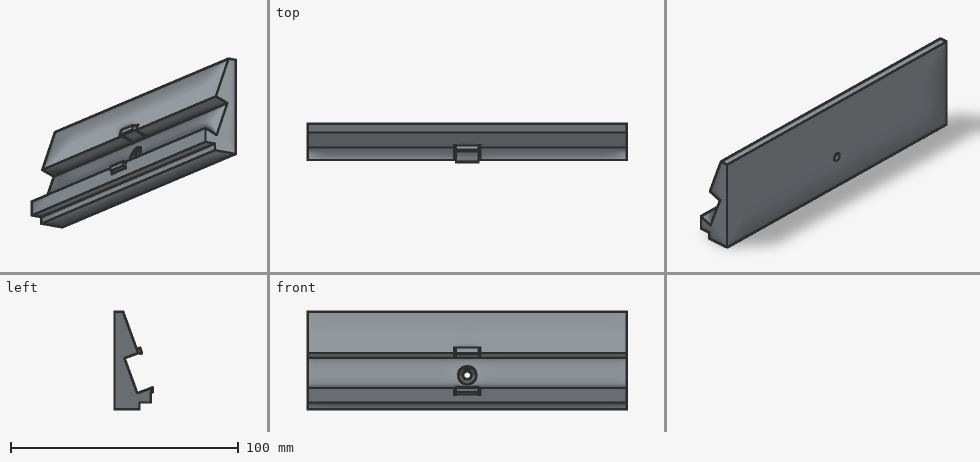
import cadquery as cq
import math

LENGTH = 140.3
HEIGHT = 43.0
TOP_THICKNESS = 3.8
LIP_DEPTH = 16.0
FOOT_DEPTH = 11.0
FOOT_HEIGHT = 3.0
TILT = math.radians(20.0)

UPPER_LEDGE = 6.4
LIP_Z = 24.7
GROOVE_WIDTH = 16.3

TONGUE_WIDTH = 10.0
TONGUE_THICKNESS = 2.0
ROOT_OVERLAP = 1.0
CLEARANCE = 0.75
UPPER_REACH = 1.6
BARB_HEIGHT = 0.55
BARB_LAND = 0.8
CREST_HEIGHT = 0.2
CREST_DEPTH = 16.65
LOWER_TIP_DEPTH = 16.94

HOLE_Z = 15.0
HOLE_DIAMETER = 3.5
HEAD_DIAMETER = 8.0
CONE_HEIGHT = (HEAD_DIAMETER - HOLE_DIAMETER) / 2
HEAD_SEAT_DEPTH = 4.5

LIP_EDGE = (TOP_THICKNESS + (HEIGHT - LIP_Z) * math.tan(TILT), LIP_Z)
UPPER_ROOT = (
    LIP_EDGE[0] - UPPER_LEDGE * math.cos(TILT),
    LIP_EDGE[1] - UPPER_LEDGE * math.sin(TILT),
)


def groove_point(out, down):
    """Profile point at a distance out of the groove floor and down from the upper ledge."""
    return (
        UPPER_ROOT[0] + out * math.cos(TILT) + down * math.sin(TILT),
        UPPER_ROOT[1] + out * math.sin(TILT) - down * math.cos(TILT),
    )


LOWER_ROOT = groove_point(0, GROOVE_WIDTH)
LOWER_LEDGE = (LIP_DEPTH - LOWER_ROOT[0]) / math.cos(TILT)
SLOT_DEPTH = TONGUE_THICKNESS + CLEARANCE
SLOT_WIDTH = TONGUE_WIDTH + 2 * CLEARANCE
SLOT_REACH = LOWER_LEDGE + SLOT_DEPTH


def extrude_profile(points, width):
    """Extrude a closed (depth, height) outline along X, centred on X = 0."""
    outline = [(-depth, height) for depth, height in points]
    return cq.Workplane("YZ").polyline(outline).close().extrude(width / 2, both=True)


def make_bar():
    """Full-length bar with the groove, the lip and the foot."""
    return extrude_profile(
        [
            (0, 0),
            (0, HEIGHT),
            (TOP_THICKNESS, HEIGHT),
            LIP_EDGE,
            UPPER_ROOT,
            LOWER_ROOT,
            groove_point(LOWER_LEDGE, GROOVE_WIDTH),
            (LIP_DEPTH, FOOT_HEIGHT),
            (FOOT_DEPTH, FOOT_HEIGHT),
            (FOOT_DEPTH, 0),
        ],
        LENGTH,
    )


def make_slot(start, end):
    """Cutter in front of the groove floor, between two distances down the groove."""
    corners = [(0, start), (SLOT_REACH, start), (SLOT_REACH, end), (0, end)]
    return extrude_profile([groove_point(*corner) for corner in corners], SLOT_WIDTH)


def make_upper_tongue():
    """Tongue along the upper ledge with a barb hanging into the groove."""
    tip = UPPER_LEDGE + UPPER_REACH
    land_start = tip - BARB_LAND
    barb_start = land_start - BARB_HEIGHT
    corners = [
        (-ROOT_OVERLAP, -TONGUE_THICKNESS),
        (tip, -TONGUE_THICKNESS),
        (tip, BARB_HEIGHT),
        (land_start, BARB_HEIGHT),
        (barb_start, 0),
        (-ROOT_OVERLAP, 0),
    ]
    return extrude_profile([groove_point(*corner) for corner in corners], TONGUE_WIDTH)


def lower_ledge_height(depth):
    """Height of the plane of the lower ledge at a distance in front of the back."""
    return LOWER_ROOT[1] + (depth - LOWER_ROOT[0]) * math.tan(TILT)


def make_lower_tongue():
    """Tongue along the lower ledge ending in a low ridge, a 45 degree bevel and a vertical tip."""
    crest_z = lower_ledge_height(CREST_DEPTH) + CREST_HEIGHT
    bevel = LOWER_TIP_DEPTH - CREST_DEPTH
    drop = TONGUE_THICKNESS / math.cos(TILT)
    outline = [
        groove_point(-ROOT_OVERLAP, GROOVE_WIDTH),
        (LIP_DEPTH, lower_ledge_height(LIP_DEPTH)),
        (CREST_DEPTH, crest_z),
        (LOWER_TIP_DEPTH, crest_z - bevel),
        (LOWER_TIP_DEPTH, lower_ledge_height(LOWER_TIP_DEPTH) - drop),
        groove_point(-ROOT_OVERLAP, GROOVE_WIDTH + TONGUE_THICKNESS),
    ]
    return extrude_profile(outline, TONGUE_WIDTH)


def make_screw_hole():
    """Through hole along Y, widened to the head diameter and open to the front."""
    cone_end = HEAD_SEAT_DEPTH - CONE_HEIGHT
    outline = [
        (0, 0),
        (HOLE_DIAMETER / 2, 0),
        (HOLE_DIAMETER / 2, -cone_end),
        (HEAD_DIAMETER / 2, -HEAD_SEAT_DEPTH),
        (HEAD_DIAMETER / 2, -LIP_DEPTH),
        (0, -LIP_DEPTH),
    ]
    cutter = cq.Workplane("XY").polyline(outline).close().revolve(360, (0, 0), (0, 1))
    return cutter.translate((0, 0, HOLE_Z))


result = (
    make_bar()
    .cut(make_slot(-SLOT_DEPTH, 0))
    .cut(make_slot(GROOVE_WIDTH, GROOVE_WIDTH + SLOT_DEPTH))
    .union(make_upper_tongue())
    .union(make_lower_tongue())
    .cut(make_screw_hole())
)